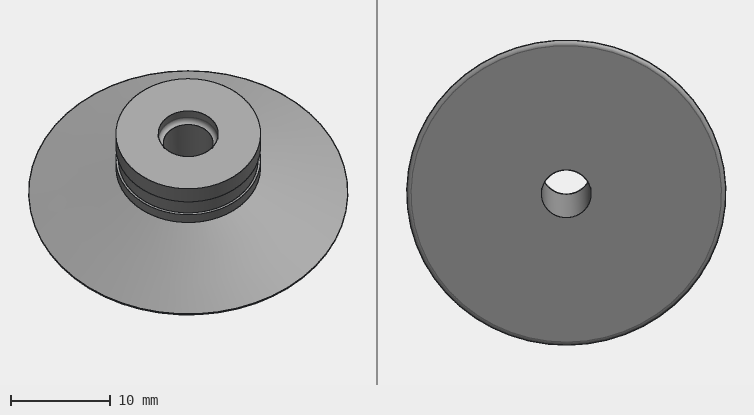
import cadquery as cq
import math

rim_radius = 32 / 2
total_height = 9.5

neck_radius = 14.5 / 2
groove_radius = 14.0 / 2
collar_height = 2.0
groove_height = 2.0
flange_height = 1.2

rim_round = 0.45

bore_radius = 5.0 / 2
recess_radius = 6.0 / 2
recess_wall_depth = 1.0
floor_round = recess_radius - bore_radius

groove_top = total_height - collar_height
groove_bottom = groove_top - groove_height
skirt_top = groove_bottom - flange_height
recess_wall_bottom = total_height - recess_wall_depth
bore_top = recess_wall_bottom - floor_round

diagonal = math.sqrt(0.5)


def make_body():
    """Conical skirt and grooved neck, revolved about Z."""
    profile = (
        cq.Workplane("XZ")
        .lineTo(rim_radius - rim_round, 0)
        .threePointArc(
            (rim_radius - rim_round * (1 - diagonal), rim_round * (1 - diagonal)),
            (rim_radius, rim_round),
        )
        .lineTo(neck_radius, skirt_top)
        .lineTo(neck_radius, groove_bottom)
        .lineTo(groove_radius, groove_bottom)
        .lineTo(groove_radius, groove_top)
        .lineTo(neck_radius, groove_top)
        .lineTo(neck_radius, total_height)
        .lineTo(0, total_height)
        .close()
    )
    return profile.revolve(360, (0, 0, 0), (0, 1, 0))


def make_hole():
    """Through bore opening into a recess whose wall curves into the bore."""
    profile = (
        cq.Workplane("XZ")
        .lineTo(bore_radius, 0)
        .lineTo(bore_radius, bore_top)
        .threePointArc(
            (bore_radius + floor_round * diagonal, recess_wall_bottom - floor_round * diagonal),
            (recess_radius, recess_wall_bottom),
        )
        .lineTo(recess_radius, total_height)
        .lineTo(0, total_height)
        .close()
    )
    return profile.revolve(360, (0, 0, 0), (0, 1, 0))


result = make_body().cut(make_hole())